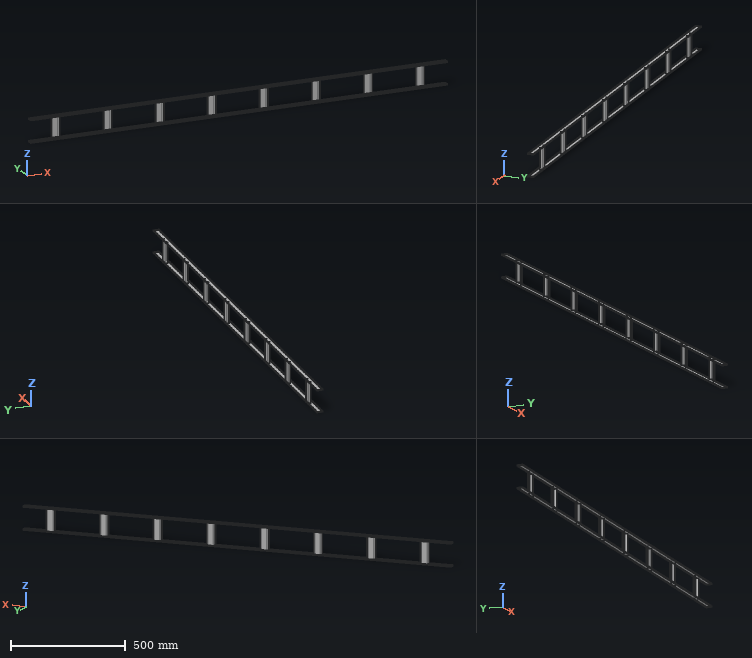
import cadquery as cq
import math

LENGTH = 2000.0
HEIGHT = 105.0

RAIL_THICKNESS = 3.0

RUNG_COUNT = 8
RUNG_PITCH = LENGTH / RUNG_COUNT
RUNG_DEPTH = 10.8
RUNG_WEB_WIDTH = 28.0
SHEET_THICKNESS = 1.0
INNER_BEND_RADIUS = 2.0
OUTER_BEND_RADIUS = INNER_BEND_RADIUS + SHEET_THICKNESS
BEND_ANGLE = math.radians(56)

RAIL_REACH = 14.2
RAIL_WIDTH = RUNG_DEPTH + RAIL_REACH

RUNG_LENGTH = HEIGHT - 2 * RAIL_THICKNESS


def make_rail(bottom_z):
    """A flat bar along X, with its +Y edge at Y = 0."""
    return (
        cq.Workplane("XY", origin=(0, 0, bottom_z))
        .box(LENGTH, RAIL_WIDTH, RAIL_THICKNESS, centered=(True, False, False))
        .translate((0, -RAIL_WIDTH, 0))
    )


def round_corners(rung, corner_x, corner_y, radius):
    """Fillet the upright edges at (-corner_x, corner_y) and (corner_x, corner_y) of a centred rung."""
    for side in (-1, 1):
        corner = (side * corner_x, corner_y, HEIGHT / 2)
        rung = rung.edges("|Z").edges(cq.selectors.NearestToPointSelector(corner)).fillet(radius)
    return rung


def make_rung(center_x):
    """A flanged channel standing between the rails, with square-cut flange tips."""
    outer_corner_x = RUNG_WEB_WIDTH / 2
    inner_corner_x = outer_corner_x - SHEET_THICKNESS * math.tan(BEND_ANGLE / 2)
    inner_tip_x = inner_corner_x + (RUNG_DEPTH - SHEET_THICKNESS) / math.tan(BEND_ANGLE)
    outer_tip_x = inner_tip_x + SHEET_THICKNESS * math.sin(BEND_ANGLE)
    outer_tip_y = -RUNG_DEPTH + SHEET_THICKNESS * math.cos(BEND_ANGLE)

    half_outline = [
        (inner_corner_x, -SHEET_THICKNESS),
        (inner_tip_x, -RUNG_DEPTH),
        (outer_tip_x, outer_tip_y),
        (outer_corner_x, 0),
    ]
    mirrored_outline = [(-x, y) for x, y in reversed(half_outline)]
    rung = (
        cq.Workplane("XY", origin=(0, 0, RAIL_THICKNESS))
        .polyline(half_outline + mirrored_outline)
        .close()
        .extrude(RUNG_LENGTH)
    )

    rung = round_corners(rung, inner_corner_x, -SHEET_THICKNESS, INNER_BEND_RADIUS)
    rung = round_corners(rung, outer_corner_x, 0, OUTER_BEND_RADIUS)
    return rung.translate((center_x, 0, 0))


rails = [make_rail(bottom_z) for bottom_z in (0, HEIGHT - RAIL_THICKNESS)]
rungs = [make_rung((index - (RUNG_COUNT - 1) / 2) * RUNG_PITCH) for index in range(RUNG_COUNT)]

result = cq.Compound.makeCompound([body.val() for body in rails + rungs])